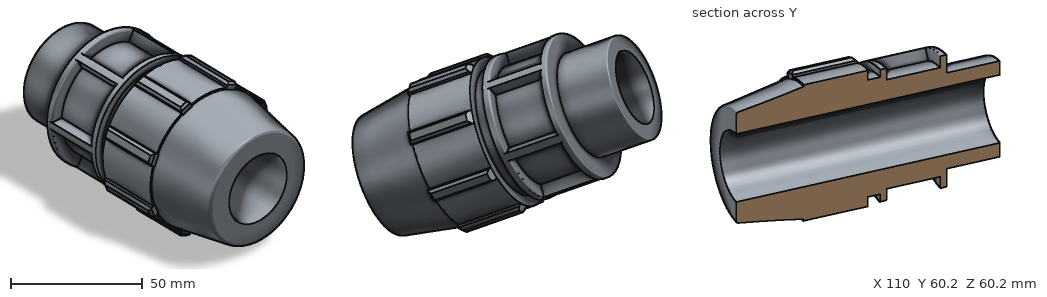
import cadquery as cq
LENGTH = 110.0
FLANGE_START = 22.0
WINDOW_START = 25.1
WINDOW_END = 47.1
FLANGE_END = 50.0
NUT_START = 55.0
NUT_END = 82.0

BORE_DIA = 29.4
SPIGOT_DIA = 41.9
CORE_DIA = 47.6
NECK_DIA = 51.2
FLANGE_DIA = 57.6
NUT_DIA = 59.4
CONE_START_DIA = 57.9
CONE_END_DIA = 48.2

SPIGOT_FILLET = 0.5
FLANGE_FILLET = 0.8
CONE_END_FILLET = 1.3

RIB_COUNT = 6
RIB_WIDTH = 3.3

LUG_COUNT = 8
LUG_TOP_RADIUS = 31.9
LUG_ROOT_RADIUS = 28.6
LUG_TOP_WIDTH = 3.2
LUG_BASE_WIDTH = 5.2
LUG_SHOULDER_RADIUS = 30.6
LUG_FRONT_RAMP = 1.8
LUG_END = 82.3
LUG_BACK_CHAMFER = 1.0


def cylinder(diameter, start, end):
    """Solid cylinder on the X axis between two stations."""
    return cq.Workplane("YZ", origin=(start, 0, 0)).circle(diameter / 2).extrude(end - start)


def make_spigot():
    return cylinder(SPIGOT_DIA, 0, FLANGE_START).faces("<X").edges().fillet(SPIGOT_FILLET)


def make_collar():
    """Two flanges on a core, rounded on the rims, joined by axial ribs."""
    front_flange = cylinder(FLANGE_DIA, FLANGE_START, WINDOW_START).edges("%CIRCLE").fillet(FLANGE_FILLET)
    rear_flange = cylinder(FLANGE_DIA, WINDOW_END, FLANGE_END).faces("<X").edges().fillet(FLANGE_FILLET)
    core = cylinder(CORE_DIA, FLANGE_START, FLANGE_END)

    rib_start = WINDOW_START - FLANGE_FILLET
    rib_end = WINDOW_END + FLANGE_FILLET
    web = cq.Workplane("YZ", origin=(rib_start, 0, 0)).rect(FLANGE_DIA, RIB_WIDTH).extrude(rib_end - rib_start)
    web = web.intersect(cylinder(FLANGE_DIA, rib_start, rib_end))

    collar = core.union(front_flange).union(rear_flange)
    for index in range(RIB_COUNT // 2):
        collar = collar.union(web.rotate((0, 0, 0), (1, 0, 0), index * 360 / RIB_COUNT))
    return collar


def make_nut():
    """Nut barrel followed by its tapered, rounded nose."""
    barrel = cylinder(NUT_DIA, NUT_START, NUT_END)
    nose = (
        cq.Workplane("XY")
        .moveTo(NUT_END, 0)
        .lineTo(NUT_END, CONE_START_DIA / 2)
        .lineTo(LENGTH, CONE_END_DIA / 2)
        .lineTo(LENGTH, 0)
        .close()
        .revolve(360, (0, 0, 0), (1, 0, 0))
        .faces(">X")
        .edges()
        .fillet(CONE_END_FILLET)
    )
    return barrel.union(nose)


def make_lug():
    """One lug at +Z: bevelled along both top edges, ramped at the front and chamfered at the back."""
    section = (
        cq.Workplane("YZ", origin=(NUT_START, 0, 0))
        .moveTo(-LUG_BASE_WIDTH / 2, LUG_ROOT_RADIUS)
        .lineTo(LUG_BASE_WIDTH / 2, LUG_ROOT_RADIUS)
        .lineTo(LUG_BASE_WIDTH / 2, LUG_SHOULDER_RADIUS)
        .lineTo(LUG_TOP_WIDTH / 2, LUG_TOP_RADIUS)
        .lineTo(-LUG_TOP_WIDTH / 2, LUG_TOP_RADIUS)
        .lineTo(-LUG_BASE_WIDTH / 2, LUG_SHOULDER_RADIUS)
        .close()
        .extrude(LUG_END - NUT_START)
    )
    side = (
        cq.Workplane("XZ")
        .moveTo(NUT_START, LUG_ROOT_RADIUS)
        .lineTo(NUT_START, NUT_DIA / 2)
        .lineTo(NUT_START + LUG_FRONT_RAMP, LUG_TOP_RADIUS)
        .lineTo(LUG_END - LUG_BACK_CHAMFER, LUG_TOP_RADIUS)
        .lineTo(LUG_END, LUG_TOP_RADIUS - LUG_BACK_CHAMFER)
        .lineTo(LUG_END, LUG_ROOT_RADIUS)
        .close()
        .extrude(LUG_BASE_WIDTH / 2, both=True)
    )
    return section.intersect(side)


neck = cylinder(NECK_DIA, FLANGE_END, NUT_START)
result = make_spigot().union(make_collar()).union(neck).union(make_nut())

lug = make_lug()
lug_pitch = 360 / LUG_COUNT
for index in range(LUG_COUNT):
    result = result.union(lug.rotate((0, 0, 0), (1, 0, 0), lug_pitch * (index + 0.5)))

result = result.cut(cylinder(BORE_DIA, 0, LENGTH))